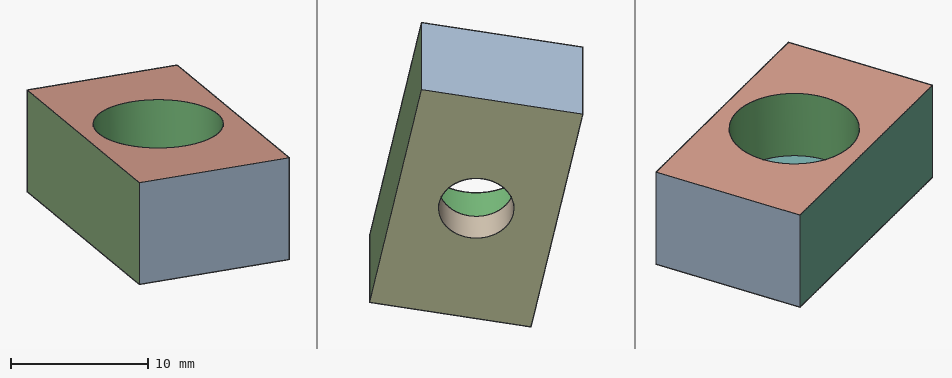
import cadquery as cq

length = 20.0
width = 12.0
height = 8.0

hole_diameter = 5.5
counterbore_diameter = 9.5
counterbore_depth = 5.4

block = cq.Workplane("XY").box(length, width, height)

result = (
    block.faces(">Z")
    .workplane()
    .cboreHole(hole_diameter, counterbore_diameter, counterbore_depth)
)